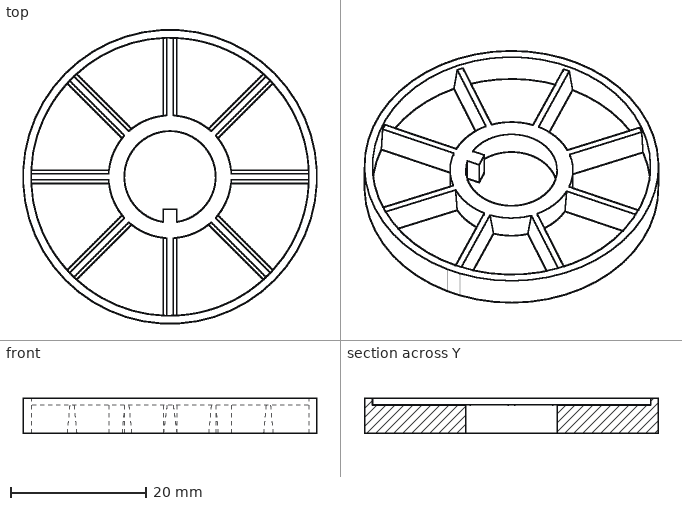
import cadquery as cq
import math

rim_diameter = 43.4
rim_bore_diameter = 41.0
rim_height = 5.2
hub_diameter = 18.15
hub_bore_diameter = 13.45
hub_height = 4.2
spoke_count = 8
spoke_base_width = 2.0
spoke_top_width = 0.9
key_width = 2.0
key_reach = 4.77

flat_width = 2.0

across_flats = math.sqrt(rim_diameter**2 - flat_width**2)

spoke_start = (hub_diameter + hub_bore_diameter) / 4
spoke_end = (rim_diameter + rim_bore_diameter) / 4
spoke_angle = 360 / spoke_count


def ring(outer_diameter, inner_diameter, height):
    """Plain ring standing on the XY plane."""
    return cq.Workplane("XY").circle(outer_diameter / 2).circle(inner_diameter / 2).extrude(height)


def spoke(angle):
    """Radial bar whose section narrows from base to top."""
    section = [
        (-spoke_base_width / 2, 0),
        (spoke_base_width / 2, 0),
        (spoke_top_width / 2, hub_height),
        (-spoke_top_width / 2, hub_height),
    ]
    bar = (
        cq.Workplane("YZ", origin=(spoke_start, 0, 0))
        .polyline(section)
        .close()
        .extrude(spoke_end - spoke_start)
    )
    return bar.rotate((0, 0, 0), (0, 0, 1), angle)


def key():
    """Key projecting into the bore on the -Y side, rooted in the hub wall."""
    length = spoke_start - key_reach
    return (
        cq.Workplane("XY")
        .center(0, -key_reach - length / 2)
        .rect(key_width, length)
        .extrude(hub_height)
    )


result = ring(rim_diameter, rim_bore_diameter, rim_height)
result = result.union(ring(hub_diameter, hub_bore_diameter, hub_height))
for index in range(spoke_count):
    result = result.union(spoke(index * spoke_angle))
result = result.union(key())

flats_envelope = cq.Workplane("XY").rect(across_flats, rim_diameter).extrude(rim_height)
result = result.intersect(flats_envelope)